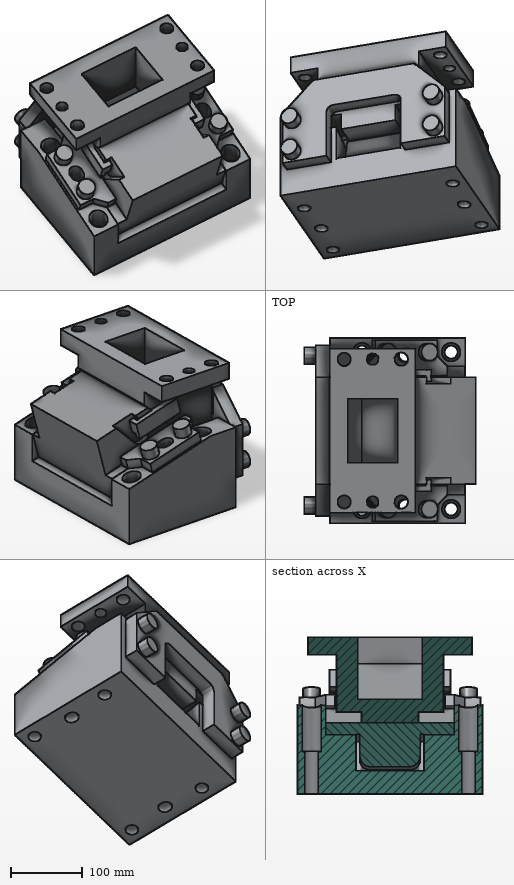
import cadquery as cq
import math

REACH = 600.0

base_length = 190.0
base_half_width = 130.0
base_height = 125.0
slope_start = 45.0
slope_angle = 15.0
slope_sin = math.sin(math.radians(slope_angle))
slope_cos = math.cos(math.radians(slope_angle))
slope_drop = (base_length - slope_start) * math.tan(math.radians(slope_angle))

channel_half_width = 90.0
channel_depth = 40.0
pocket_half_width = 47.5
pocket_depth = 89.0
pocket_end = 50.8

mount_hole_xs = (45.0, 170.0)
mount_hole_y = 110.0
mount_hole_diameter = 18.0
mount_counterbore_diameter = 26.0
access_slot_x = 107.0
access_slot_y = 105.7
access_slot_length = 20.0
access_slot_width = 17.5
access_recess_length = 23.2
access_recess_width = 19.0
counterbore_floor = 60.0

gib_length = 120.0
gib_inner = 77.0
gib_shoulder = 90.0
gib_outer = 127.0
gib_corner_cut = 15.0
gib_thickness = 15.0
screw_head_diameter = 24.0
screw_head_height = 16.0
gib_screw_us = (30.0, 90.0)
gib_screw_y = 110.0

plate_thickness = 20.0
plate_half_width = 120.0
plate_bottom = 40.0
plate_top = 165.0
plate_chamfer = 45.0
opening_half_width = 55.0
opening_top = 120.0
opening_fillet = 10.0
plate_relief_depth = 1.0
plate_relief_half_width = 77.0
plate_screw_y = 105.0
plate_screw_zs = (55.0, 105.0)

contact_offset = 55.0

slide_half_width = 75.0
slide_height = 60.0
slide_end = 149.13
flange_front_x = 42.5
core_half_width = 42.5
core_front = -1.7
core_length = 40.0
core_depth = 84.0
core_fillet = 15.0

slot_width = 30.0
slot_floor_y = 66.0
slot_angle = 45.0 + slope_angle
slot_end_u = 76.4
slot_end_n = 27.4
slot_reach = 80.0

top_height = 220.0
top_thickness = 25.0
top_length = 120.0
top_half_width = 115.0
web_half_width = 75.0
web_bottom = 115.0
tongue_half_width = 40.0
tongue_bottom = 90.7
top_hole_y = 100.0
top_holes = ((20.0, 18.5), (60.0, 16.0), (100.0, 18.5))
well_front = 25.0
well_back = 95.0
well_slope_start = 45.0
well_floor = 133.0
well_half_width = 45.0

hook_start = 11.0
hook_end = 86.0
hook_bottom = 29.0
hook_top = 54.0
hook_outer = 85.0
hook_relief = 2.0
lip_inner = 69.0
lip_top_thickness = 8.0
lip_bottom = 35.0
lip_fillet = 5.0

slope_origin = (slope_start, 0, base_height)
slope_plan = cq.Plane(origin=slope_origin, xDir=(slope_cos, 0, -slope_sin), normal=(slope_sin, 0, slope_cos))
slope_side = cq.Plane(origin=slope_origin, xDir=(slope_cos, 0, -slope_sin), normal=(0, -1, 0))
contact_plane = cq.Plane(origin=(0, 0, contact_offset), xDir=(0, 1, 0), normal=(1, 0, -1))
below_contact = cq.Workplane(contact_plane).rect(REACH, REACH).extrude(REACH)


def block(x0, x1, y0, y1, z0, z1):
    """Box between the given limits, square to the axes."""
    return cq.Workplane("XY").box(x1 - x0, y1 - y0, z1 - z0, centered=False).translate((x0, y0, z0))


def slope_block(u0, u1, y0, y1, n0, n1):
    """Box between the given limits, square to the slope."""
    box = cq.Workplane(slope_plan).workplane(offset=n0)
    return box.center((u0 + u1) / 2, (y0 + y1) / 2).rect(u1 - u0, y1 - y0).extrude(n1 - n0)


def post(x, y, z0, z1, diameter):
    """Vertical cylinder."""
    return cq.Workplane("XY", origin=(x, y, z0)).circle(diameter / 2).extrude(z1 - z0)


def access_cutter(side, z0, z1, length, width):
    """Vertical round-ended cutter, long in X, through the gib and the base below it."""
    cutter = cq.Workplane("XY", origin=(access_slot_x, side * access_slot_y, z0))
    return cutter.slot2D(length, width).extrude(z1 - z0)


def mirrored(shape):
    """The +Y shape as given and its copy on the -Y side."""
    return (shape, shape.mirror("XZ"))


def make_base_block():
    outline = [
        (0, 0),
        (base_length, 0),
        (base_length, base_height - slope_drop),
        (slope_start, base_height),
        (0, base_height),
    ]
    body = cq.Workplane("XZ").polyline(outline).close().extrude(base_half_width, both=True)
    channel = slope_block(-REACH, REACH, -channel_half_width, channel_half_width, -channel_depth, REACH)
    pocket = slope_block(-REACH, pocket_end, -pocket_half_width, pocket_half_width, -pocket_depth, 0)
    body = body.cut(channel).cut(pocket)
    for side in (-1, 1):
        for x in mount_hole_xs:
            y = side * mount_hole_y
            body = body.cut(post(x, y, 0, base_height, mount_hole_diameter))
            body = body.cut(post(x, y, counterbore_floor, base_height, mount_counterbore_diameter))
    return body


def make_gib():
    """Gib with its two screw heads, on the +Y side."""
    cut_end = gib_shoulder + gib_corner_cut
    outline = [
        (0, gib_inner),
        (gib_length, gib_inner),
        (gib_length, gib_shoulder),
        (gib_length - gib_corner_cut, cut_end),
        (gib_length - gib_corner_cut, gib_outer),
        (gib_corner_cut, gib_outer),
        (gib_corner_cut, cut_end),
        (0, gib_shoulder),
    ]
    gib = cq.Workplane(slope_plan).polyline(outline).close().extrude(gib_thickness)
    heads = cq.Workplane(slope_plan).workplane(offset=gib_thickness)
    heads = heads.pushPoints([(u, gib_screw_y) for u in gib_screw_us])
    return gib.union(heads.circle(screw_head_diameter / 2).extrude(screw_head_height))


def make_stop_plate():
    """Arched plate in front of the base, with its screw heads."""
    shoulder = plate_top - plate_chamfer
    crown_half_width = plate_half_width - plate_chamfer
    outline = [
        (-plate_half_width, plate_bottom),
        (plate_half_width, plate_bottom),
        (plate_half_width, shoulder),
        (crown_half_width, plate_top),
        (-crown_half_width, plate_top),
        (-plate_half_width, shoulder),
    ]
    plate = cq.Workplane("YZ").polyline(outline).close().extrude(-plate_thickness)
    opening = block(-REACH, REACH, -opening_half_width, opening_half_width, 0, opening_top)
    plate = plate.cut(opening.edges("|X and >Z").fillet(opening_fillet))
    relief = block(
        -plate_relief_depth, REACH, -plate_relief_half_width, plate_relief_half_width, base_height, REACH
    )
    plate = plate.cut(relief)
    heads = cq.Workplane("YZ", origin=(-plate_thickness, 0, 0))
    heads = heads.pushPoints([(side * plate_screw_y, z) for side in (-1, 1) for z in plate_screw_zs])
    return plate.union(heads.circle(screw_head_diameter / 2).extrude(-screw_head_height))


def make_base():
    """Base block with its gibs, stop plate and screw heads."""
    body = make_base_block().union(make_stop_plate())
    for gib in mirrored(make_gib()):
        body = body.union(gib)
    for side in (-1, 1):
        body = body.cut(access_cutter(side, 0, base_height, access_slot_length, access_slot_width))
        recess = access_cutter(side, counterbore_floor, top_height, access_recess_length, access_recess_width)
        body = body.cut(recess)
    return body


def make_hook_slot():
    """Round-ended slot cutter for the +Y side of the slide."""
    angle = math.radians(slot_angle)
    middle_u = slot_end_u + slot_reach / 2 * math.cos(angle)
    middle_n = slot_end_n + slot_reach / 2 * math.sin(angle)
    slot = cq.Workplane(slope_side).workplane(offset=-slot_floor_y).center(middle_u, middle_n)
    slot = slot.slot2D(slot_reach + slot_width, slot_width, slot_angle)
    return slot.extrude(slot_floor_y - channel_half_width)


def make_slide():
    body = slope_block(-REACH, slide_end, -slide_half_width, slide_half_width, -channel_depth, slide_height)
    flange = slope_block(-REACH, slide_end, -channel_half_width, channel_half_width, -channel_depth, 0)
    body = body.union(flange)
    body = body.cut(block(-2 * REACH, flange_front_x, -REACH, REACH, -REACH, REACH))
    core = slope_block(
        core_front, core_front + core_length, -core_half_width, core_half_width, -core_depth, 0
    )
    lower_edges = cq.selectors.ParallelDirSelector(slope_plan.xDir)
    core = core.faces(cq.selectors.DirectionMinMaxSelector(slope_plan.zDir, False))
    core = core.edges(lower_edges).fillet(core_fillet)
    body = body.union(core).intersect(below_contact)
    for slot in mirrored(make_hook_slot()):
        body = body.cut(slot)
    return body


def make_hook():
    """Side plate with a lip that reaches into the hook slot, on the +Y side."""
    root = slope_block(hook_start, hook_end, web_half_width, hook_outer, hook_bottom, hook_top)
    relief_outer = web_half_width + hook_relief
    relief = slope_block(hook_start, hook_end, 0, relief_outer, hook_bottom, hook_top)
    hook = root.cut(relief.intersect(below_contact))

    lip_lean = (hook_top - lip_bottom) / math.tan(math.radians(slot_angle))
    lip_top_start = hook_end - lip_top_thickness
    outline = [
        (hook_end, lip_bottom),
        (hook_end, hook_top),
        (lip_top_start, hook_top),
        (lip_top_start - lip_lean, lip_bottom),
    ]
    lip = cq.Workplane(slope_side).workplane(offset=-lip_inner).polyline(outline).close()
    lip = lip.extrude(lip_inner - hook_outer)
    lip = lip.edges("|Y").edges("<X").fillet(lip_fillet)
    return hook.union(lip)


def make_upper():
    top_underside = top_height - top_thickness
    body = block(0, top_length, -top_half_width, top_half_width, top_underside, top_height)
    body = body.union(block(0, top_length, -web_half_width, web_half_width, web_bottom, top_underside))
    body = body.union(block(0, top_length, -tongue_half_width, tongue_half_width, tongue_bottom, web_bottom))
    body = body.cut(below_contact)

    well = [
        (well_front, top_height),
        (well_front, well_floor),
        (well_slope_start, well_floor),
        (well_back, well_floor + well_back - well_slope_start),
        (well_back, top_height),
    ]
    body = body.cut(cq.Workplane("XZ").polyline(well).close().extrude(well_half_width, both=True))
    for side in (-1, 1):
        for x, diameter in top_holes:
            body = body.cut(post(x, side * top_hole_y, top_underside, top_height, diameter))
    for hook in mirrored(make_hook()):
        body = body.union(hook)
    return body


base = make_base()
slide = make_slide()
upper = make_upper()

result = cq.Compound.makeCompound([base.val(), slide.val(), upper.val()])